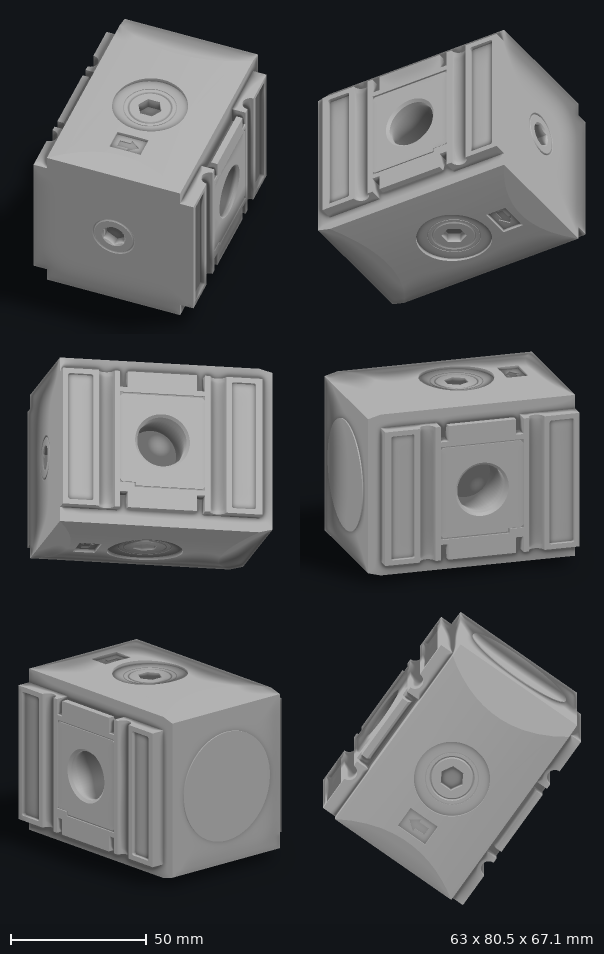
import cadquery as cq
import math

BODY_WIDTH = 52.5
BODY_LENGTH = 75.0
CAP_LENGTH = 5.0
SIDE_HEIGHT = 62.4
OVERALL_HEIGHT = 67.13
END_SLOPE = math.radians(15)
BACK_DISC_DIAMETER = 42.0
BACK_DISC_HEIGHT = 0.5

HALF_WIDTH = BODY_WIDTH / 2
HALF_LENGTH = BODY_LENGTH / 2
HALF_SIDE = SIDE_HEIGHT / 2
HALF_HEIGHT = OVERALL_HEIGHT / 2
CAP_BACK = HALF_LENGTH + CAP_LENGTH

OVERALL_WIDTH = 63.0
PAD_HEIGHT = 51.8
PAD_FACE = OVERALL_WIDTH / 2
HALF_PAD = PAD_HEIGHT / 2
GROOVE_DIAMETER = 6.0
GROOVE_OFFSET = 21.0

HOOK_OPENING = 32.0
HOOK_WIDTH = 26.0
HOOK_HEIGHT = 6.0
HOOK_TIP_THICKNESS = 2.45
HOOK_ROOT_THICKNESS = 4.5

POCKET_HEIGHT = 48.0
POCKET_DEPTH = 1.75
POCKET_CORNER = 0.8
BACK_POCKET_SPAN = (26.0, 35.1)
FRONT_POCKET_SPAN = (-35.5, -26.0)

INSERT_WIDTH = 32.0
INSERT_HEIGHT = 36.0
INSERT_STEP_WIDTH = 5.4
INSERT_STEP_HEIGHT = 1.6
INSERT_GAP = 0.6
INSERT_STEP_GAP = 0.3
INSERT_CORNER = 1.0
INSERT_SETBACK = 0.2
INSERT_GAP_DEPTH = 0.7

PORT_DIAMETER = 18.6
PORT_MOUTH_DIAMETER = 21.0
PORT_DEPTH = 20.0

PLUG_SEAT_DIAMETER = 16.8
PLUG_FACE_DIAMETER = 14.9
SOCKET_ACROSS_FLATS = 8.0
SOCKET_ACROSS_CORNERS = SOCKET_ACROSS_FLATS / math.cos(math.radians(30))
SOCKET_DEPTH = 4.0
SOCKET_MOUTH_DIAMETER = 9.4

SPOT_DIAMETER = 28.0
SPOT_LEVEL = 32.0
SEAL_OUTER_DIAMETER = 19.9
SEAL_INNER_DIAMETER = 19.1
SEAL_DEPTH = 0.2

WINDOW_WIDTH = 12.3
WINDOW_LENGTH = 8.2
WINDOW_Y = -21.7
WINDOW_LEVEL = 32.2
ARROW_LENGTH = 8.0
ARROW_HEAD_LENGTH = 3.8
ARROW_HEAD_WIDTH = 5.6
ARROW_SHAFT_WIDTH = 2.9
ARROW_DEPTH = 0.4


def box(x_span, y_span, z_span):
    """Axis-aligned box from its three (low, high) spans."""
    spans = (x_span, y_span, z_span)
    sizes = [high - low for low, high in spans]
    return cq.Workplane("XY").box(*sizes, centered=False).translate(tuple(low for low, _ in spans))


def mirrored_pair(shape, plane):
    """The shape together with its mirror image."""
    return shape.union(shape.mirror(plane))


def make_body():
    """Block with arched top and bottom, bevelled at both ends, and a rear disc."""
    crowned = (
        cq.Workplane("XZ", origin=(0, CAP_BACK, 0))
        .moveTo(-HALF_WIDTH, -HALF_SIDE)
        .threePointArc((0, -HALF_HEIGHT), (HALF_WIDTH, -HALF_SIDE))
        .lineTo(HALF_WIDTH, HALF_SIDE)
        .threePointArc((0, HALF_HEIGHT), (-HALF_WIDTH, HALF_SIDE))
        .close()
        .extrude(CAP_BACK + HALF_LENGTH)
    )
    cap_half_height = HALF_SIDE - CAP_LENGTH * math.tan(END_SLOPE)
    ridge = HALF_SIDE + HALF_LENGTH * math.tan(END_SLOPE)
    bevels = (
        cq.Workplane("YZ", origin=(-HALF_WIDTH, 0, 0))
        .polyline([
            (-HALF_LENGTH, -HALF_SIDE),
            (0, -ridge),
            (CAP_BACK, -cap_half_height),
            (CAP_BACK, cap_half_height),
            (0, ridge),
            (-HALF_LENGTH, HALF_SIDE),
        ])
        .close()
        .extrude(BODY_WIDTH)
    )
    disc = (
        cq.Workplane("XZ", origin=(0, CAP_BACK + BACK_DISC_HEIGHT, 0))
        .circle(BACK_DISC_DIAMETER / 2)
        .extrude(BACK_DISC_HEIGHT)
    )
    return crowned.intersect(bevels).union(disc)


def hook_relief():
    """Space behind and beside the hook at the top of the +X pad."""
    root_level = HALF_PAD - HOOK_HEIGHT
    behind = (
        cq.Workplane("XZ", origin=(0, HOOK_OPENING / 2, 0))
        .polyline([
            (HALF_WIDTH, root_level),
            (PAD_FACE - HOOK_ROOT_THICKNESS, root_level),
            (PAD_FACE - HOOK_TIP_THICKNESS, HALF_PAD),
            (HALF_WIDTH, HALF_PAD),
        ])
        .close()
        .extrude(HOOK_OPENING)
    )
    beside = box((HALF_WIDTH, PAD_FACE), (HOOK_WIDTH / 2, HOOK_OPENING / 2), (root_level, HALF_PAD))
    return behind.union(mirrored_pair(beside, "XZ"))


def pad_pocket(y_span):
    """Round-cornered pocket in the face of the +X pad."""
    z_span = (-POCKET_HEIGHT / 2, POCKET_HEIGHT / 2)
    return box((PAD_FACE - POCKET_DEPTH, PAD_FACE), y_span, z_span).edges("|X").fillet(POCKET_CORNER)


def insert_block(gap, step_gap, height):
    """Block on the recess floor, shortened by the gaps above, below and at the step."""
    side = INSERT_WIDTH / 2
    top = INSERT_HEIGHT / 2 - gap
    step_y = INSERT_STEP_WIDTH + gap - side
    step_z = INSERT_STEP_HEIGHT + step_gap - INSERT_HEIGHT / 2
    return (
        cq.Workplane("YZ", origin=(PAD_FACE - INSERT_GAP_DEPTH, 0, 0))
        .polyline([
            (-side, step_z),
            (step_y, step_z),
            (step_y, -top),
            (side, -top),
            (side, top),
            (-side, top),
        ])
        .close()
        .extrude(height)
    )


def insert_recess():
    """Recess in the face of the +X pad, filled by the port insert except for its gaps."""
    insert = insert_block(INSERT_GAP, INSERT_STEP_GAP, INSERT_GAP_DEPTH - INSERT_SETBACK)
    for side in ("<Y", ">Y"):
        insert = insert.faces(side).edges("|X").chamfer(INSERT_CORNER)
    return insert_block(0, 0, INSERT_GAP_DEPTH).cut(insert)


def port_bore():
    """Blind side port with a 45 degree mouth, entering from +X."""
    mouth_depth = (PORT_MOUTH_DIAMETER - PORT_DIAMETER) / 2
    return (
        cq.Workplane("XY")
        .polyline([
            (PAD_FACE - PORT_DEPTH, 0),
            (PAD_FACE, 0),
            (PAD_FACE, PORT_MOUTH_DIAMETER / 2),
            (PAD_FACE - mouth_depth, PORT_DIAMETER / 2),
            (PAD_FACE - PORT_DEPTH, PORT_DIAMETER / 2),
        ])
        .close()
        .revolve(360, (0, 0, 0), (1, 0, 0))
    )


def make_pad():
    """Connection pad on the +X side, without its port bore."""
    pad = box((HALF_WIDTH, PAD_FACE), (-HALF_LENGTH, HALF_LENGTH), (-HALF_PAD, HALF_PAD))
    grooves = (
        cq.Workplane("XY", origin=(0, 0, -HALF_PAD))
        .pushPoints([(PAD_FACE, -GROOVE_OFFSET), (PAD_FACE, GROOVE_OFFSET)])
        .circle(GROOVE_DIAMETER / 2)
        .extrude(PAD_HEIGHT)
    )
    pad = pad.cut(grooves).cut(mirrored_pair(hook_relief(), "XY"))
    for y_span in (BACK_POCKET_SPAN, FRONT_POCKET_SPAN):
        pad = pad.cut(pad_pocket(y_span))
    return pad.cut(insert_recess())


def plug_rim():
    """V-shaped ring between a plug and its seat, below the XY plane."""
    ring_depth = (PLUG_SEAT_DIAMETER - PLUG_FACE_DIAMETER) / 4
    ring_middle = (PLUG_SEAT_DIAMETER + PLUG_FACE_DIAMETER) / 4
    return (
        cq.Workplane("XZ")
        .polyline([
            (PLUG_FACE_DIAMETER / 2, 0),
            (PLUG_SEAT_DIAMETER / 2, 0),
            (ring_middle, -ring_depth),
        ])
        .close()
        .revolve(360, (0, 0, 0), (0, 1, 0))
    )


def plug_socket():
    """Hexagon socket below the XY plane, with two corners along X."""
    return cq.Workplane("XY").polygon(6, SOCKET_ACROSS_CORNERS).extrude(-SOCKET_DEPTH)


def socket_mouth():
    """45 degree countersink around the hexagon socket, below the XY plane."""
    mouth_radius = SOCKET_MOUTH_DIAMETER / 2
    mouth_depth = mouth_radius - SOCKET_ACROSS_FLATS / 2
    return cq.Workplane("XY").circle(mouth_radius).extrude(-mouth_depth, taper=45)


def front_plug():
    """Plug details in the front face, with two socket corners along Z."""
    details = plug_rim().union(plug_socket()).union(socket_mouth())
    return (
        details
        .rotate((0, 0, 0), (0, 0, 1), 90)
        .rotate((0, 0, 0), (1, 0, 0), 90)
        .translate((0, -HALF_LENGTH, 0))
    )


def spot_face():
    """Spot face in the crowned top, with its seal ring and plug."""
    face = cq.Workplane("XY").circle(SPOT_DIAMETER / 2).extrude(HALF_HEIGHT - SPOT_LEVEL)
    seal = (
        cq.Workplane("XY")
        .circle(SEAL_OUTER_DIAMETER / 2)
        .circle(SEAL_INNER_DIAMETER / 2)
        .extrude(-SEAL_DEPTH)
    )
    details = face.union(seal).union(plug_rim()).union(plug_socket())
    return details.translate((0, 0, SPOT_LEVEL))


def arrow_window():
    """Rectangular window in the top with an arrow sunk in its floor, pointing to +X."""
    window = (
        cq.Workplane("XY")
        .rect(WINDOW_WIDTH, WINDOW_LENGTH)
        .extrude(HALF_HEIGHT - WINDOW_LEVEL)
    )
    head_x = ARROW_LENGTH / 2 - ARROW_HEAD_LENGTH
    arrow = (
        cq.Workplane("XY")
        .polyline([
            (-ARROW_LENGTH / 2, -ARROW_SHAFT_WIDTH / 2),
            (head_x, -ARROW_SHAFT_WIDTH / 2),
            (head_x, -ARROW_HEAD_WIDTH / 2),
            (ARROW_LENGTH / 2, 0),
            (head_x, ARROW_HEAD_WIDTH / 2),
            (head_x, ARROW_SHAFT_WIDTH / 2),
            (-ARROW_LENGTH / 2, ARROW_SHAFT_WIDTH / 2),
        ])
        .close()
        .extrude(-ARROW_DEPTH)
    )
    return window.union(arrow).translate((0, WINDOW_Y, WINDOW_LEVEL))


part = make_body().union(mirrored_pair(make_pad(), "YZ"))
part = part.cut(mirrored_pair(port_bore(), "YZ"))
part = part.cut(mirrored_pair(spot_face(), "XY"))
part = part.cut(front_plug())
result = part.cut(mirrored_pair(arrow_window(), "XY"))